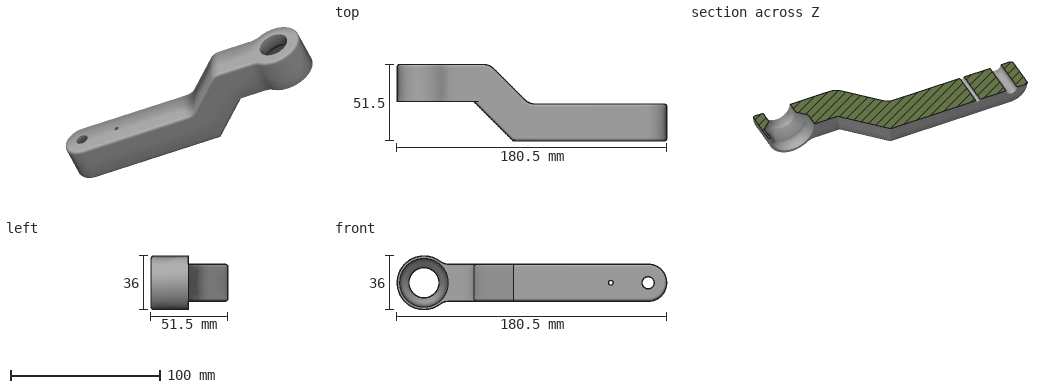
import cadquery as cq
import math

HUB_RADIUS = 18.0
HUB_BORE_RADIUS = 10.0
HUB_MOUTH_RADIUS = 16.25
HUB_CONE_END_DEPTH = 16.0
NECK_RADIUS = 10.0

ARM_WIDTH = 25.0
ARM_THICKNESS = 25.0
CRANK_OFFSET = 26.5
CRANK_ANGLE = math.radians(45)
CRANK_START_X = 33.4
BACK_BEND_RADIUS = 10.0
EDGE_RADIUS = 2.0

END_HOLE_X = 150.0
END_HOLE_DIAMETER = 8.0
PIN_HOLE_X = 125.0
PIN_HOLE_DIAMETER = 3.0

HALF_WIDTH = ARM_WIDTH / 2
HUB_BACK_Y = ARM_THICKNESS
ARM_FRONT_Y = -CRANK_OFFSET
ARM_BACK_Y = ARM_FRONT_Y + ARM_THICKNESS
DEPTH = HUB_BACK_Y - ARM_FRONT_Y
TIP_X = END_HOLE_X + HALF_WIDTH
CRANK_END_X = CRANK_START_X + CRANK_OFFSET / math.tan(CRANK_ANGLE)
HUB_MOUTH_DEPTH = HUB_CONE_END_DEPTH - (HUB_MOUTH_RADIUS - HUB_BORE_RADIUS)
BACK_SHIFT_X = ARM_THICKNESS * math.tan(CRANK_ANGLE / 2)
UPPER_BEND_X = CRANK_START_X + BACK_SHIFT_X
LOWER_BEND_X = CRANK_END_X + BACK_SHIFT_X


def y_cylinder(x, radius):
    """Cylinder along Y at the given x, spanning the full depth of the part."""
    return cq.Workplane("XZ", origin=(x, HUB_BACK_Y, 0)).circle(radius).extrude(DEPTH)


def make_side_profile():
    """Cranked bar of constant thickness, with its two back bends rounded."""
    bar = (
        cq.Workplane("XY", origin=(0, 0, -HUB_RADIUS))
        .moveTo(-HUB_RADIUS, 0)
        .lineTo(CRANK_START_X, 0)
        .lineTo(CRANK_END_X, ARM_FRONT_Y)
        .lineTo(TIP_X, ARM_FRONT_Y)
        .lineTo(TIP_X, ARM_BACK_Y)
        .lineTo(LOWER_BEND_X, ARM_BACK_Y)
        .lineTo(UPPER_BEND_X, HUB_BACK_Y)
        .lineTo(-HUB_RADIUS, HUB_BACK_Y)
        .close()
        .extrude(2 * HUB_RADIUS)
    )
    upper_bend = cq.selectors.NearestToPointSelector((UPPER_BEND_X, HUB_BACK_Y, 0))
    lower_bend = cq.selectors.NearestToPointSelector((LOWER_BEND_X, ARM_BACK_Y, 0))
    bends = bar.edges("|Z").edges(upper_bend + lower_bend)
    return bends.fillet(BACK_BEND_RADIUS)


def make_face_profile():
    """Round hub blended into a straight arm with a round end."""
    neck_centre_z = HALF_WIDTH + NECK_RADIUS
    neck_end_x = math.sqrt((HUB_RADIUS + NECK_RADIUS) ** 2 - neck_centre_z**2)
    hub_share = HUB_RADIUS / (HUB_RADIUS + NECK_RADIUS)
    neck_start_x = neck_end_x * hub_share
    neck_start_z = neck_centre_z * hub_share
    return (
        cq.Workplane("XZ", origin=(0, HUB_BACK_Y, 0))
        .moveTo(neck_start_x, -neck_start_z)
        .threePointArc((-HUB_RADIUS, 0), (neck_start_x, neck_start_z))
        .radiusArc((neck_end_x, HALF_WIDTH), -NECK_RADIUS)
        .lineTo(END_HOLE_X, HALF_WIDTH)
        .threePointArc((TIP_X, 0), (END_HOLE_X, -HALF_WIDTH))
        .lineTo(neck_end_x, -HALF_WIDTH)
        .radiusArc((neck_start_x, -neck_start_z), -NECK_RADIUS)
        .close()
        .extrude(DEPTH)
    )


def round_edges(body):
    """Round the back rim, the front rim of the outer arm and both sides of the crank's front face."""
    crank_middle_x = (CRANK_START_X + CRANK_END_X) / 2
    crank_middle_y = ARM_FRONT_Y / 2
    crank_face = cq.selectors.NearestToPointSelector((crank_middle_x, crank_middle_y, 0))
    body = body.faces(">Y").edges().fillet(EDGE_RADIUS)
    arm_front_rim = body.faces("<Y").edges("not |Z")
    crank_front_sides = body.faces(crank_face).edges("not |Z")
    return arm_front_rim.add(crank_front_sides).fillet(EDGE_RADIUS)


def make_hub_bore():
    """Through bore with a wide cylindrical mouth that tapers down to it."""
    return (
        cq.Workplane("XY")
        .moveTo(0, 0)
        .lineTo(HUB_MOUTH_RADIUS, 0)
        .lineTo(HUB_MOUTH_RADIUS, HUB_MOUTH_DEPTH)
        .lineTo(HUB_BORE_RADIUS, HUB_CONE_END_DEPTH)
        .lineTo(HUB_BORE_RADIUS, HUB_BACK_Y)
        .lineTo(0, HUB_BACK_Y)
        .close()
        .revolve(360, (0, 0, 0), (0, 1, 0))
    )


result = round_edges(make_side_profile().intersect(make_face_profile()))
result = result.cut(make_hub_bore())
result = result.cut(y_cylinder(END_HOLE_X, END_HOLE_DIAMETER / 2))
result = result.cut(y_cylinder(PIN_HOLE_X, PIN_HOLE_DIAMETER / 2))